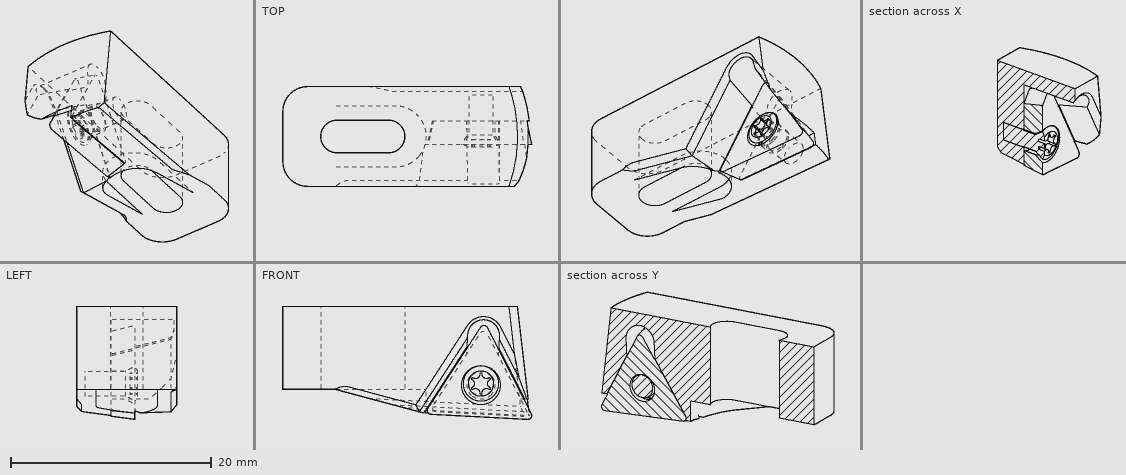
import cadquery as cq
import math

HOLDER_WIDTH = 10.0
SHANK_HEIGHT = 8.28
REAR_CORNER_RADIUS = 2.5

NOSE_RADIUS = 15.0
NOSE_TOP_X = 23.45
NOSE_LEAN_ANGLE = 6.6

SLOPE_START_X = 5.22
SLOPE_ANGLE = 15.0
BODY_DEPTH = 14.92

SLOT_WIDTH = 3.23
SLOT_START_X = 3.8
SLOT_END_X = 12.18
RELIEF_RADIUS = 3.05
RELIEF_CENTER_X = 11.25

CHAMFER = 0.6
CHAMFER_ANGLE = 45.0
HEEL_CHAMFER = 0.5
CHAMFER_END_RADIUS = 1.86

INSERT_CENTER_X = 19.8
INSERT_CENTER_Z = -7.85
INSERT_FACE_Y = -0.82
INSERT_INRADIUS = 3.18
INSERT_CORNER_RADIUS = 0.4
INSERT_THICKNESS = 2.39
INSERT_TILT = 3.0
CLEARANCE_ANGLE = 7.0

POCKET_INRADIUS = 3.78
POCKET_APEX_DISTANCE = 4.95
APEX_RELIEF_RADIUS = 1.6
TIP_CUTOFF_Z = -9.25
HEEL_GAP = 0.107

INSERT_HOLE_RADIUS = 1.95
INSERT_BORE_RADIUS = 1.4
SCREW_OFFSET_Z = 0.16
SCREW_HEAD_RADIUS = 1.77
SCREW_TOP_RADIUS = 1.27
SCREW_TOP_HEIGHT = 0.25
SCREW_SHANK_RADIUS = 1.22
SCREW_LENGTH = 4.97
COUNTERSINK_HALF_ANGLE = 30.0
SOCKET_TIP_RADIUS = 1.07
SOCKET_VALLEY_RADIUS = 0.65
SOCKET_DEPTH = 0.75
SOCKET_LOBES = 6
SOCKET_SHOULDER_RADIUS = 1.0
SOCKET_TIP_HALF_ANGLE = 6.0

FRONT_Y = -HOLDER_WIDTH / 2
BACK_Y = HOLDER_WIDTH / 2
SEAT_Y = INSERT_FACE_Y + INSERT_THICKNESS
CLEARANCE_SLOPE = math.tan(math.radians(CLEARANCE_ANGLE))
SCREW_CENTER_Z = INSERT_CENTER_Z + SCREW_OFFSET_Z
COUNTERSINK_SLOPE = math.tan(math.radians(COUNTERSINK_HALF_ANGLE))
COUNTERSINK_DEPTH = (INSERT_HOLE_RADIUS - INSERT_BORE_RADIUS) / COUNTERSINK_SLOPE
HEAD_DEPTH = (SCREW_HEAD_RADIUS - SCREW_SHANK_RADIUS) / COUNTERSINK_SLOPE
FAR = 49.72


def facing_front(x, y, z, tilt=0.0):
    """Workplane at (x, y, z) whose normal is -Y, turned clockwise by tilt degrees."""
    angle = math.radians(tilt)
    x_direction = (math.cos(angle), 0, -math.sin(angle))
    return cq.Workplane(cq.Plane((x, y, z), x_direction, (0, -1, 0)))


def insert_plane(y):
    return facing_front(INSERT_CENTER_X, y, INSERT_CENTER_Z, INSERT_TILT)


def polar(radius, degrees):
    angle = math.radians(degrees)
    return (radius * math.cos(angle), radius * math.sin(angle))


def turned(profile, y, z):
    """Revolve (radius, height towards -Y) points about the -Y axis through (y, z)."""
    plane = cq.Plane((INSERT_CENTER_X, y, z), (1, 0, 0), (0, 0, -1))
    return cq.Workplane(plane).polyline(profile).close().revolve(360, (0, 0), (0, 1))


def insert_blank():
    """Solid insert without its hole; also the shape of its seat in the holder."""
    corners = [polar(2 * INSERT_INRADIUS, angle) for angle in (90, 210, 330)]
    prism = insert_plane(INSERT_FACE_Y).polyline(corners).close()
    blank = prism.extrude(-INSERT_THICKNESS, taper=CLEARANCE_ANGLE)
    return blank.edges("not #Y").fillet(INSERT_CORNER_RADIUS)


def insert_hole():
    """Countersunk through hole, turned about the insert's own axis."""
    profile = [
        (0, 0),
        (INSERT_HOLE_RADIUS, 0),
        (INSERT_BORE_RADIUS, -COUNTERSINK_DEPTH),
        (INSERT_BORE_RADIUS, -INSERT_THICKNESS),
        (0, -INSERT_THICKNESS),
    ]
    return turned(profile, INSERT_FACE_Y, INSERT_CENTER_Z)


def screw_blank():
    """Screw without its driver recess; also the shape of its hole in the holder."""
    profile = [
        (0, SCREW_TOP_HEIGHT),
        (SCREW_TOP_RADIUS, SCREW_TOP_HEIGHT),
        (SCREW_HEAD_RADIUS, 0),
        (SCREW_SHANK_RADIUS, -HEAD_DEPTH),
        (SCREW_SHANK_RADIUS, -SCREW_LENGTH),
        (0, -SCREW_LENGTH),
    ]
    return turned(profile, INSERT_FACE_Y, SCREW_CENTER_Z)


def star_socket():
    """Six-lobed driver recess: rounded tips joined by hollow flanks."""
    pitch = 360 / SOCKET_LOBES
    y = INSERT_FACE_Y - SCREW_TOP_HEIGHT
    star = facing_front(INSERT_CENTER_X, y, SCREW_CENTER_Z)
    star = star.moveTo(*polar(SOCKET_SHOULDER_RADIUS, 90 - SOCKET_TIP_HALF_ANGLE))
    for lobe in range(SOCKET_LOBES):
        tip_angle = 90 + lobe * pitch
        star = star.threePointArc(
            polar(SOCKET_TIP_RADIUS, tip_angle),
            polar(SOCKET_SHOULDER_RADIUS, tip_angle + SOCKET_TIP_HALF_ANGLE),
        )
        star = star.threePointArc(
            polar(SOCKET_VALLEY_RADIUS, tip_angle + pitch / 2),
            polar(SOCKET_SHOULDER_RADIUS, tip_angle + pitch - SOCKET_TIP_HALF_ANGLE),
        )
    return star.close().extrude(-SOCKET_DEPTH)


def holder_block():
    block = cq.Workplane("XY").box(FAR, HOLDER_WIDTH, BODY_DEPTH, centered=(False, True, False))
    block = block.translate((0, 0, -BODY_DEPTH))
    return block.edges("|Z and <X").fillet(REAR_CORNER_RADIUS)


def nose_cylinder():
    """Cylinder whose axis leans in the XZ plane, reaching above and below the holder."""
    angle = math.radians(NOSE_LEAN_ANGLE)
    axis = cq.Vector(math.sin(angle), 0, -math.cos(angle))
    top_center = cq.Vector(NOSE_TOP_X - NOSE_RADIUS / math.cos(angle), 0, 0)
    start = top_center - axis * BODY_DEPTH
    return cq.Workplane(cq.Solid.makeCylinder(NOSE_RADIUS, 3 * BODY_DEPTH, start, axis))


def below_shank():
    """Everything under the shank and under the sloping underside."""
    drop = (FAR - SLOPE_START_X) * math.tan(math.radians(SLOPE_ANGLE))
    outline = [
        (-FAR, -SHANK_HEIGHT),
        (SLOPE_START_X, -SHANK_HEIGHT),
        (FAR, -SHANK_HEIGHT - drop),
        (-FAR, -SHANK_HEIGHT - drop),
    ]
    return cq.Workplane("XZ").polyline(outline).close().extrude(HOLDER_WIDTH, both=True)


def clamping_slot():
    length = SLOT_END_X - SLOT_START_X
    middle_x = (SLOT_START_X + SLOT_END_X) / 2
    return cq.Workplane("XY").center(middle_x, 0).slot2D(length, SLOT_WIDTH).extrude(-BODY_DEPTH)


def slot_relief():
    """Round-ended clearance cut into the slope, level with the shank's underside."""
    below = cq.Workplane("XY").workplane(offset=-SHANK_HEIGHT)
    round_end = below.center(RELIEF_CENTER_X, 0).circle(RELIEF_RADIUS).extrude(-BODY_DEPTH)
    run_out = below.rect(2 * RELIEF_CENTER_X, 2 * RELIEF_RADIUS).extrude(-BODY_DEPTH)
    return round_end.union(run_out)


def underside_chamfer():
    """Front chamfer of the slope, with a conical run-out at the shank end."""
    r = CHAMFER_END_RADIUS
    run_out_length = math.sqrt(r**2 - (r - CHAMFER) ** 2)
    outline = facing_front(SLOPE_START_X, FRONT_Y, -SHANK_HEIGHT, SLOPE_ANGLE)
    outline = outline.center(run_out_length, CHAMFER - r)
    outline = outline.moveTo(0, r).threePointArc((-r, 0), (0, -r))
    outline = outline.lineTo(FAR, -r).lineTo(FAR, r).close()
    return outline.extrude(-CHAMFER, taper=CHAMFER_ANGLE)


def heel():
    """Clearance under the insert: parallel to its lower flank, chamfered at the back edge."""
    def height(y):
        return (y - INSERT_FACE_Y) * CLEARANCE_SLOPE - INSERT_INRADIUS + HEEL_GAP

    chamfer_y = BACK_Y - HEEL_CHAMFER
    outline = [
        (2 * FRONT_Y, height(2 * FRONT_Y)),
        (chamfer_y, height(chamfer_y)),
        (2 * BACK_Y, height(BACK_Y) + HEEL_CHAMFER + BACK_Y),
        (2 * BACK_Y, -FAR),
        (2 * FRONT_Y, -FAR),
    ]
    prism = cq.Workplane("YZ").polyline(outline).close().extrude(FAR, both=True)
    prism = prism.rotate((0, 0, 0), (0, 1, 0), INSERT_TILT)
    return prism.translate((INSERT_CENTER_X, 0, INSERT_CENTER_Z))


def pocket_cut(inradius, depth, taper):
    """Tapered V with a rounded apex, opening downwards, sunk from the front side."""
    apex_radius = inradius - POCKET_APEX_DISTANCE / 2
    leg_length = BODY_DEPTH
    right_x, right_y = polar(apex_radius, 30)
    leg_x, leg_y = polar(leg_length, -60)
    tangent_y = POCKET_APEX_DISTANCE + right_y
    bottom_x = right_x + leg_x
    bottom_y = tangent_y + leg_y
    outline = insert_plane(FRONT_Y).moveTo(right_x, tangent_y)
    outline = outline.threePointArc(
        (0, POCKET_APEX_DISTANCE + apex_radius),
        (-right_x, tangent_y),
    )
    outline = outline.lineTo(-bottom_x, bottom_y).lineTo(bottom_x, bottom_y).close()
    return outline.extrude(-depth, taper=taper)


def chip_pocket():
    walls = pocket_cut(POCKET_INRADIUS, INSERT_FACE_Y - FRONT_Y, CLEARANCE_ANGLE)
    bevel_angle = CHAMFER_ANGLE + CLEARANCE_ANGLE / 2
    bevel_depth = CHAMFER * math.cos(math.radians(CLEARANCE_ANGLE))
    bevel = pocket_cut(POCKET_INRADIUS + CHAMFER, bevel_depth, bevel_angle)
    return walls.union(bevel)


def apex_relief():
    """Round-topped groove behind the insert's upper corner, down to the seat."""
    r = APEX_RELIEF_RADIUS
    groove = insert_plane(FRONT_Y).moveTo(-r, 0).lineTo(-r, POCKET_APEX_DISTANCE)
    groove = groove.threePointArc((0, POCKET_APEX_DISTANCE + r), (r, POCKET_APEX_DISTANCE))
    return groove.lineTo(r, 0).close().extrude(-(SEAT_Y - FRONT_Y))


def tip_cutoff():
    """Frees the cutting tip by ending the holder's nose above it."""
    corner = (INSERT_CENTER_X, FRONT_Y, TIP_CUTOFF_Z - BODY_DEPTH)
    size = (FAR, SEAT_Y - FRONT_Y, BODY_DEPTH)
    return cq.Workplane("XY").box(*size, centered=False).translate(corner)


def build_holder():
    body = holder_block().intersect(nose_cylinder())
    body = body.cut(below_shank()).cut(heel())
    body = body.cut(clamping_slot()).cut(slot_relief())
    body = body.cut(underside_chamfer()).cut(chip_pocket()).cut(tip_cutoff())
    return body.cut(apex_relief()).cut(insert_blank()).cut(screw_blank())


holder = build_holder()
insert = insert_blank().cut(insert_hole())
screw = screw_blank().cut(star_socket())

result = cq.Compound.makeCompound([holder.val(), insert.val(), screw.val()])